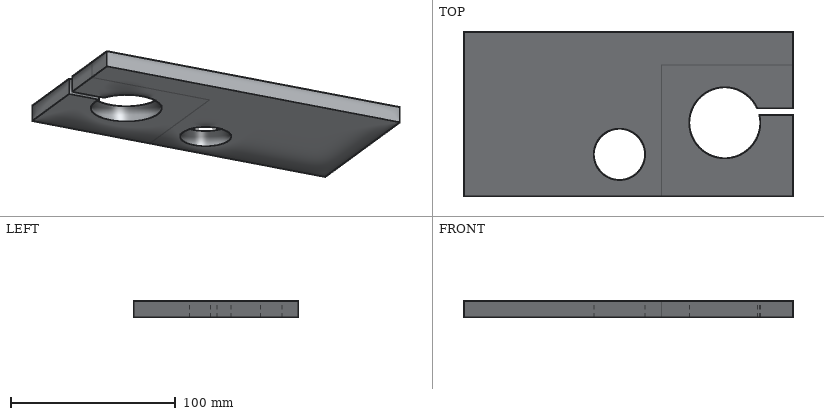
import cadquery as cq

length = 200.0
width = 100.0
thickness = 10.0

insert_side = 80.0

small_hole_diameter = 31.0
small_hole_from_left = 94.5
small_hole_from_front = 25.5

large_hole_diameter = 43.0
large_hole_from_right = 41.5
large_hole_from_front = 44.7
slot_width = 4.0
slot_centre_from_front = 51.5

left = -length / 2
right = length / 2
front = -width / 2


def block(x_min, y_min, x_size, y_size):
    """Full-thickness rectangular block placed by its lower corner."""
    return cq.Workplane("XY").box(x_size, y_size, thickness, centered=False).translate((x_min, y_min, 0))


def through_cylinder(x, y, diameter):
    """Full-thickness cylinder used to cut a round through hole."""
    return cq.Workplane("XY").center(x, y).circle(diameter / 2).extrude(thickness)


def make_plate():
    """L-shaped plate joined to the square insert, keeping the seam between their faces."""
    insert = block(right - insert_side, front, insert_side, insert_side)
    surround = block(left, front, length, width).cut(insert)
    return surround.union(insert, clean=False)


def make_small_hole():
    return through_cylinder(left + small_hole_from_left, front + small_hole_from_front, small_hole_diameter)


def make_slotted_hole():
    """Large round hole together with the slot from its centre to the +X edge."""
    hole_x = right - large_hole_from_right
    hole = through_cylinder(hole_x, front + large_hole_from_front, large_hole_diameter)
    slot_y_min = front + slot_centre_from_front - slot_width / 2
    slot = block(hole_x, slot_y_min, large_hole_from_right, slot_width)
    return hole.union(slot)


result = make_plate().cut(make_small_hole(), clean=False).cut(make_slotted_hole(), clean=False)